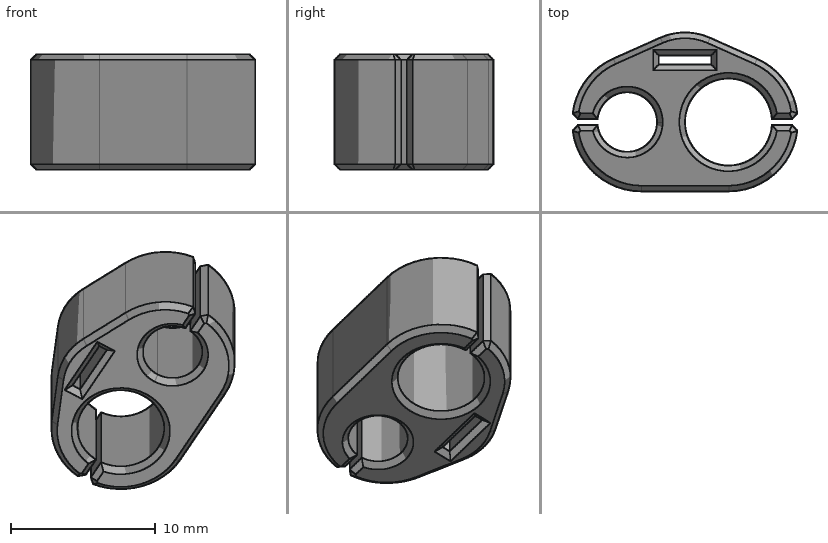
import cadquery as cq
import math

length = 15.53
height = 8.0
depth = 11.0
end_radius = 4.8
crown_radius = 4.21
large_bore_radius = 3.0
small_bore_radius = 2.05
small_bore_x = -3.99
slit_width = 0.4
slot_length = 3.6
slot_width = 0.6
slot_y = 4.29
chamfer = 0.4

bevel_y = slit_width / 2 + chamfer
end_offset = length / 2 - math.sqrt(end_radius**2 - bevel_y**2)
end_reach = end_offset + end_radius
crown_y = depth - end_radius - crown_radius

center_distance = math.hypot(end_offset, crown_y)
radius_slope = math.asin((crown_radius - end_radius) / center_distance)
flank_angle = math.atan2(crown_y, end_offset) + radius_slope


def arc_point(center_x, center_y, radius, angle):
    """Point on a circle, with the angle measured from +Y toward +X."""
    return (center_x + radius * math.sin(angle), center_y + radius * math.cos(angle))


def mirrored(point):
    return (-point[0], point[1])


def make_body():
    end_middle = (end_reach, 0)
    end_top = arc_point(end_offset, 0, end_radius, flank_angle)
    crown_end = arc_point(0, crown_y, crown_radius, flank_angle)
    return (
        cq.Workplane("XY")
        .moveTo(-end_offset, -end_radius)
        .lineTo(end_offset, -end_radius)
        .threePointArc(end_middle, end_top)
        .lineTo(*crown_end)
        .threePointArc((0, crown_y + crown_radius), mirrored(crown_end))
        .lineTo(*mirrored(end_top))
        .threePointArc(mirrored(end_middle), (-end_offset, -end_radius))
        .close()
        .extrude(height)
    )


def make_bore(center_x, radius):
    return cq.Workplane("XY").center(center_x, 0).circle(radius).extrude(height)


def make_slit(bore_x, side):
    """Gap from a bore out through the end wall; side is +1 for +X and -1 for -X."""
    return (
        cq.Workplane("XY")
        .center(bore_x + side * end_reach / 2, 0)
        .rect(end_reach, slit_width)
        .extrude(height)
    )


def make_slot():
    return cq.Workplane("XY").center(0, slot_y).rect(slot_length, slot_width).extrude(height)


body = make_body().cut(make_slot())
for bore_x, bore_radius, side in (
    (end_offset, large_bore_radius, 1),
    (small_bore_x, small_bore_radius, -1),
):
    body = body.cut(make_bore(bore_x, bore_radius)).cut(make_slit(bore_x, side))

corner_margin = 2 * slit_width
for side in (-1, 1):
    corner_x = side * end_reach
    corner_edges = cq.selectors.BoxSelector(
        (corner_x - corner_margin, -slit_width, 0),
        (corner_x + corner_margin, slit_width, height),
    )
    body = body.edges("|Z").edges(corner_edges).chamfer(chamfer)

result = body.faces("<Z or >Z").edges().chamfer(chamfer)